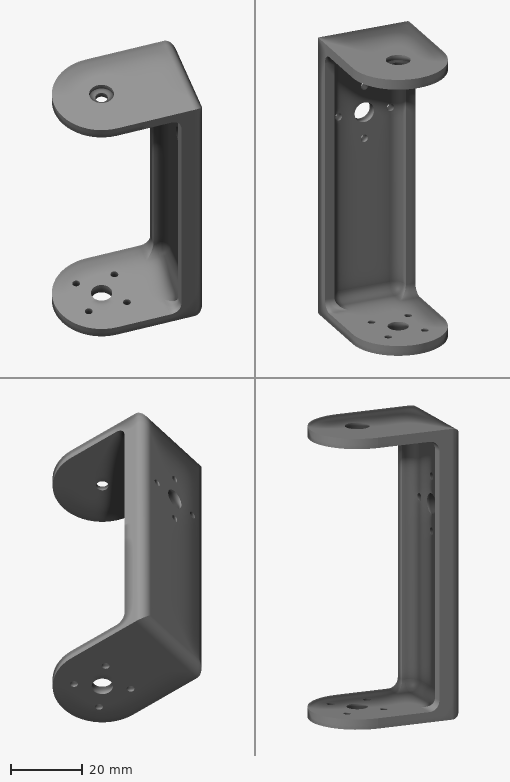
import cadquery as cq
import math

width = 28.0
depth = 40.0
height = 84.75

arm_thickness = 3.0
rim_thickness = 7.0
floor_thickness = 3.0
rim_width = 3.0
corner_radius = 3.0

shaft_diameter = 6.0
screw_diameter = 2.2
screw_circle_radius = 8.0
screw_count = 4
back_screw_angle = 0
arm_screw_angle = 45
back_holes_from_top = 25.25
pivot_diameter = 3.5
pivot_recess_diameter = 7.0
pivot_recess_depth = 1.5

end_radius = width / 2
back_y = depth - end_radius
rim_y = back_y - rim_thickness
floor_y = back_y - floor_thickness
inner_height = height - 2 * arm_thickness
back_holes_z = height - back_holes_from_top


def make_plan():
    """Vertical prism with a round front end and rounded rear corners."""
    return (
        cq.Workplane("XY")
        .moveTo(-end_radius, 0)
        .threePointArc((0, -end_radius), (end_radius, 0))
        .lineTo(end_radius, back_y)
        .lineTo(-end_radius, back_y)
        .close()
        .extrude(height)
        .edges("|Z and >Y")
        .fillet(corner_radius)
    )


def make_side_profile():
    """C-shaped side profile, rounded at the rear corners and at the arm roots."""
    block = (
        cq.Workplane("XY")
        .box(width, depth, height, centered=(True, False, False))
        .translate((0, -end_radius, 0))
        .edges("|X and >Y")
        .fillet(corner_radius)
    )
    opening = (
        cq.Workplane("XY")
        .box(width, rim_y + end_radius, inner_height, centered=(True, False, False))
        .translate((0, -end_radius, arm_thickness))
        .edges("|X and >Y")
        .fillet(corner_radius)
    )
    return block.cut(opening)


def make_channel():
    """Pocket in the back wall with rounded corners and a rounded floor edge."""
    channel_width = width - 2 * rim_width
    return (
        cq.Workplane("XY")
        .box(channel_width, floor_y, inner_height, centered=(True, False, False))
        .translate((0, 0, arm_thickness))
        .edges("|Y")
        .fillet(corner_radius)
        .faces(">Y")
        .edges()
        .fillet(corner_radius)
    )


def make_motor_holes(length, first_angle):
    """Shaft hole and its ring of screw holes, as cutters along +Z."""
    cutters = cq.Workplane("XY").circle(shaft_diameter / 2).extrude(length)
    for index in range(screw_count):
        angle = math.radians(first_angle + index * 360 / screw_count)
        x = screw_circle_radius * math.cos(angle)
        y = screw_circle_radius * math.sin(angle)
        screw = cq.Workplane("XY").center(x, y).circle(screw_diameter / 2).extrude(length)
        cutters = cutters.union(screw)
    return cutters


def make_pivot_hole():
    """Counterbored hole through the upper arm."""
    hole = (
        cq.Workplane("XY", origin=(0, 0, height - arm_thickness))
        .circle(pivot_diameter / 2)
        .extrude(arm_thickness)
    )
    recess = (
        cq.Workplane("XY", origin=(0, 0, height - pivot_recess_depth))
        .circle(pivot_recess_diameter / 2)
        .extrude(pivot_recess_depth)
    )
    return hole.union(recess)


bracket = make_plan().intersect(make_side_profile()).cut(make_channel())

lower_arm_holes = make_motor_holes(arm_thickness, arm_screw_angle)
back_wall_holes = (
    make_motor_holes(rim_thickness, back_screw_angle)
    .rotate((0, 0, 0), (1, 0, 0), 90)
    .translate((0, back_y, back_holes_z))
)

result = bracket.cut(lower_arm_holes).cut(back_wall_holes).cut(make_pivot_hole())